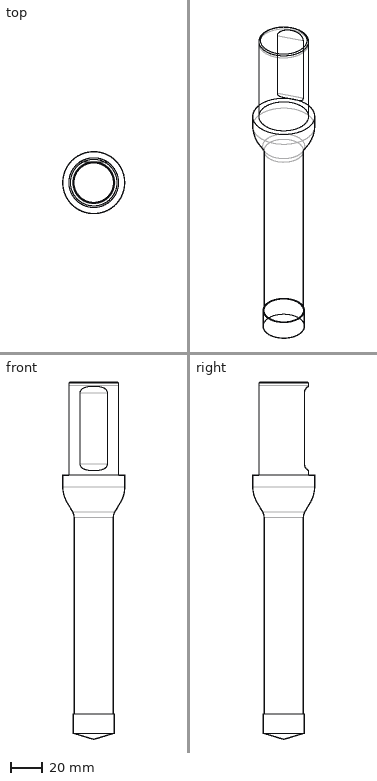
import cadquery as cq
import math

total_length = 230.0
shank_length = 60.0
shank_base = total_length - shank_length

shank_radius = 31.99 / 2
collar_radius = 40.0 / 2
neck_radius = 25.4 / 2
head_radius = 26.65 / 2

point_height = 4.0
head_top = 16.5

collar_height = 7.8
taper_height = 15.9
neck_fillet_height = 3.5
taper_end_slope = math.radians(28.0)

end_chamfer_width = 1.0
end_chamfer_height = 0.75
lead_in_width = 0.03
lead_in_height = 1.6

flat_offset = 13.35
flat_end_margin = 2.3
flat_corner_radius = 5.0


def make_holder():
    """Neck, collar and shank turned as one profile, with the flat milled off the shank."""
    collar_bottom_z = shank_base - collar_height
    fillet_top_z = collar_bottom_z - taper_height
    fillet_bottom_z = fillet_top_z - neck_fillet_height
    fillet_radius = neck_fillet_height / math.sin(taper_end_slope)
    fillet_top_x = neck_radius + fillet_radius * (1 - math.cos(taper_end_slope))

    taper_end_direction = (math.sin(taper_end_slope), math.cos(taper_end_slope))

    lead_in_top_z = total_length - end_chamfer_height
    lead_in_top_x = shank_radius - lead_in_width
    profile = (
        cq.Workplane("XZ")
        .moveTo(0, head_top)
        .lineTo(neck_radius, head_top)
        .lineTo(neck_radius, fillet_bottom_z)
        .tangentArcPoint((fillet_top_x, fillet_top_z), relative=False)
        .spline(
            [(collar_radius, collar_bottom_z)],
            tangents=[taper_end_direction, (0, 1)],
            includeCurrent=True,
        )
        .lineTo(collar_radius, shank_base)
        .lineTo(shank_radius, shank_base)
        .lineTo(shank_radius, lead_in_top_z - lead_in_height)
        .lineTo(lead_in_top_x, lead_in_top_z)
        .lineTo(lead_in_top_x - end_chamfer_width, total_length)
        .lineTo(0, total_length)
        .close()
    )
    body = profile.revolve(360, (0, 0, 0), (0, 1, 0))
    return body.cut(make_flat_cutter())


def make_flat_cutter():
    """Block that mills the flat, its two inner edges rounded."""
    return (
        cq.Workplane("XY")
        .box(
            2 * shank_radius,
            shank_radius,
            shank_length - 2 * flat_end_margin,
            centered=(True, False, True),
        )
        .edges("<Y and |X")
        .fillet(flat_corner_radius)
        .translate((0, flat_offset, shank_base + shank_length / 2))
    )


def make_cutting_head():
    """Cylindrical head with a conical point."""
    return (
        cq.Workplane("XZ")
        .polyline([(0, 0), (head_radius, point_height), (head_radius, head_top), (0, head_top)])
        .close()
        .revolve(360, (0, 0, 0), (0, 1, 0))
    )


holder = make_holder()
cutting_head = make_cutting_head()

result = cq.Compound.makeCompound([holder.val(), cutting_head.val()])